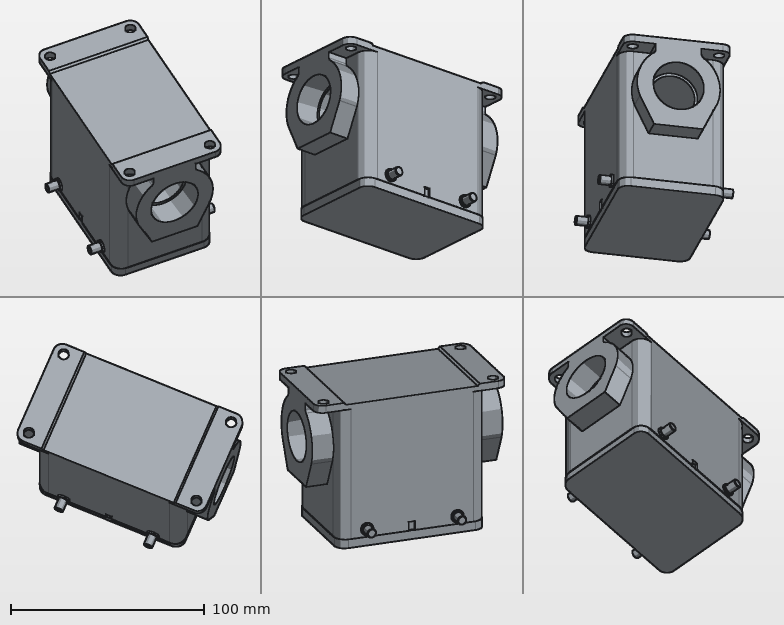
import cadquery as cq
import math

LENGTH = 105.5
HEIGHT = 81.0
BODY_WIDTH = 56.7
BODY_LENGTH = 82.1
BODY_CORNER_RADIUS = 7.2

SKIRT_HEIGHT = 5.0
SKIRT_INSET = 0.3
SKIRT_CORNER_RADIUS = 5.5

FLANGE_THICKNESS = 4.0
FLANGE_CORNER_RADIUS = 5.0
RECESS_DEPTH = 1.2
RECESS_FLOOR_LENGTH = 72.9
FLANGE_HOLE_DIAMETER = 5.5
FLANGE_HOLE_X = 47.0
FLANGE_HOLE_Y = 23.0

BORE_AXIS_Z = HEIGHT - 26.7
BOSS_RADIUS = 22.0
BOSS_BOTTOM_Z = HEIGHT - 50.0
BOSS_BOTTOM_HALF_WIDTH = 13.1
BOSS_FLANK_DROP = 7.7
NECK_HALF_WIDTH = 12.1
NECK_FILLET_RADIUS = 2.1
ENTRY_DIAMETER = 26.9
ENTRY_DEPTH = 13.7
BORE_DIAMETER = 23.8

PIN_SPAN = 71.1
PIN_X = 25.0
PIN_Z = 9.5
PIN_DIAMETER = 4.9
PIN_CHAMFER = 0.3
COLLAR_DIAMETER = 6.6
COLLAR_HEIGHT = 1.1

NOTCH_WIDTH = 3.5
NOTCH_HEIGHT = 5.0
NOTCH_DEPTH = 1.5


def rounded_block(length, width, height, base_z, corner_radius):
    """Upright block, centred in X and Y, with rounded vertical edges."""
    return (
        cq.Workplane("XY", origin=(0, 0, base_z))
        .rect(length, width)
        .extrude(height)
        .edges("|Z")
        .fillet(corner_radius)
    )


def make_housing():
    flange_base_z = HEIGHT - FLANGE_THICKNESS
    skirt = rounded_block(
        BODY_LENGTH - 2 * SKIRT_INSET,
        BODY_WIDTH - 2 * SKIRT_INSET,
        SKIRT_HEIGHT,
        0,
        SKIRT_CORNER_RADIUS,
    )
    body = rounded_block(
        BODY_LENGTH, BODY_WIDTH, flange_base_z - SKIRT_HEIGHT, SKIRT_HEIGHT, BODY_CORNER_RADIUS
    )
    flange = rounded_block(
        LENGTH, BODY_WIDTH, FLANGE_THICKNESS, flange_base_z, FLANGE_CORNER_RADIUS
    )
    return skirt.union(body).union(flange)


def make_top_recess():
    """Shallow channel across the top, with 45 degree side walls."""
    floor_x = RECESS_FLOOR_LENGTH / 2
    rim_x = floor_x + RECESS_DEPTH
    floor_z = HEIGHT - RECESS_DEPTH
    return (
        cq.Workplane("XZ")
        .polyline([(-floor_x, floor_z), (floor_x, floor_z), (rim_x, HEIGHT), (-rim_x, HEIGHT)])
        .close()
        .extrude(BODY_WIDTH / 2, both=True)
    )


def make_bosses():
    """Profile in Y and Z: neck under the flange, round middle, tapered flat-bottomed foot."""
    fillet_y = NECK_HALF_WIDTH + NECK_FILLET_RADIUS
    centre_distance = BOSS_RADIUS + NECK_FILLET_RADIUS
    fillet_angle = math.acos(fillet_y / centre_distance)
    fillet_z = BORE_AXIS_Z + centre_distance * math.sin(fillet_angle)
    fillet_mid_angle = math.pi + fillet_angle / 2
    fillet_mid = (
        fillet_y + NECK_FILLET_RADIUS * math.cos(fillet_mid_angle),
        fillet_z + NECK_FILLET_RADIUS * math.sin(fillet_mid_angle),
    )
    round_start = (
        BOSS_RADIUS * math.cos(fillet_angle),
        BORE_AXIS_Z + BOSS_RADIUS * math.sin(fillet_angle),
    )
    round_end = (math.sqrt(BOSS_RADIUS**2 - BOSS_FLANK_DROP**2), BORE_AXIS_Z - BOSS_FLANK_DROP)

    positive_half = (
        cq.Workplane("YZ")
        .moveTo(0, HEIGHT - FLANGE_THICKNESS)
        .lineTo(NECK_HALF_WIDTH, HEIGHT - FLANGE_THICKNESS)
        .lineTo(NECK_HALF_WIDTH, fillet_z)
        .threePointArc(fillet_mid, round_start)
        .threePointArc((BOSS_RADIUS, BORE_AXIS_Z), round_end)
        .lineTo(BOSS_BOTTOM_HALF_WIDTH, BOSS_BOTTOM_Z)
        .lineTo(0, BOSS_BOTTOM_Z)
        .close()
        .extrude(LENGTH / 2, both=True)
    )
    return positive_half.union(positive_half.mirror("XZ"))


def make_bore():
    """Through bore along X, wider at both entries."""
    axis_start = cq.Workplane("YZ", origin=(-LENGTH / 2, 0, BORE_AXIS_Z))
    bore = axis_start.circle(BORE_DIAMETER / 2).extrude(LENGTH)
    entry = axis_start.circle(ENTRY_DIAMETER / 2).extrude(ENTRY_DEPTH)
    return bore.union(entry).union(entry.mirror("YZ"))


def make_pins():
    """Collared, chamfered pins standing out of both long sides."""
    side_y = BODY_WIDTH / 2
    root_y = side_y - SKIRT_INSET
    side = cq.Workplane("XZ", origin=(0, root_y, PIN_Z)).pushPoints([(-PIN_X, 0), (PIN_X, 0)])
    pins = side.circle(PIN_DIAMETER / 2).extrude(root_y - PIN_SPAN / 2)
    pins = pins.faces(">Y").chamfer(PIN_CHAMFER)
    collars = side.circle(COLLAR_DIAMETER / 2).extrude(root_y - side_y - COLLAR_HEIGHT)
    one_side = pins.union(collars)
    return one_side.union(one_side.mirror("XZ"))


def make_notches():
    middle_gap = BODY_WIDTH - 2 * NOTCH_DEPTH
    across = cq.Workplane("XY", origin=(0, 0, SKIRT_HEIGHT))
    slot = across.rect(NOTCH_WIDTH, BODY_WIDTH).extrude(NOTCH_HEIGHT)
    return slot.cut(across.rect(NOTCH_WIDTH, middle_gap).extrude(NOTCH_HEIGHT))


def make_flange_holes():
    return (
        cq.Workplane("XY", origin=(0, 0, HEIGHT - FLANGE_THICKNESS))
        .rect(2 * FLANGE_HOLE_X, 2 * FLANGE_HOLE_Y, forConstruction=True)
        .vertices()
        .circle(FLANGE_HOLE_DIAMETER / 2)
        .extrude(FLANGE_THICKNESS)
    )


result = (
    make_housing()
    .union(make_bosses())
    .cut(make_bore())
    .cut(make_top_recess())
    .cut(make_flange_holes())
    .cut(make_notches())
    .union(make_pins())
)